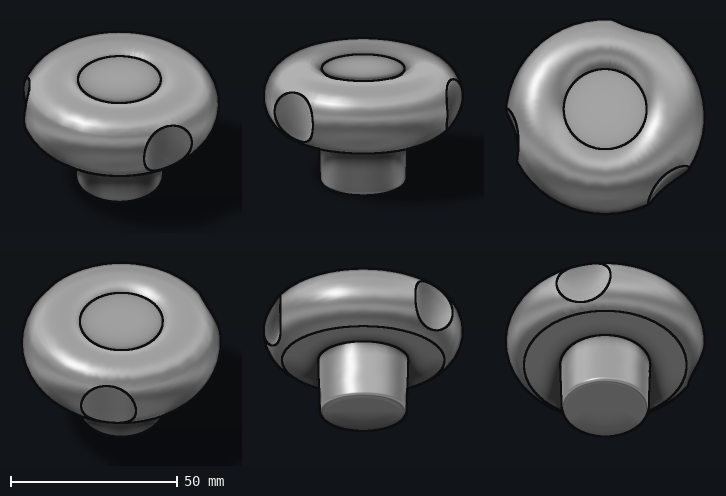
import cadquery as cq
import math

knob_radius = 30.0
knob_height = 38.5

rim_radius = 11.0
head_bottom = 18.0
dish_radius = 12.5
rim_center_radius = knob_radius - rim_radius
rim_center_z = knob_height - rim_radius

boss_top_radius = 13.55
boss_end_radius = 13.1
boss_fillet = 1.5

notch_count = 3
notch_radius = 20.0
notch_floor = 27.0
first_notch_angle = 90.0


def rim_height(radius):
    """Vertical distance from the rim centre to the rim circle at a given radius."""
    return math.sqrt(rim_radius**2 - (radius - rim_center_radius) ** 2)


def make_head():
    """Revolved head: flat dish floor, round rim and flat underside."""
    bottom_rise = head_bottom - rim_center_z
    bottom_radius = rim_center_radius + math.sqrt(rim_radius**2 - bottom_rise**2)
    dish_floor = rim_center_z + rim_height(dish_radius)
    return (
        cq.Workplane("XZ")
        .moveTo(0, head_bottom)
        .lineTo(bottom_radius, head_bottom)
        .threePointArc((knob_radius, rim_center_z), (dish_radius, dish_floor))
        .lineTo(0, dish_floor)
        .close()
        .revolve(360, (0, 0, 0), (0, 1, 0))
    )


def make_boss():
    """Slightly tapered round boss with a rounded lower edge."""
    boss = (
        cq.Workplane("XY")
        .circle(boss_end_radius)
        .workplane(offset=head_bottom)
        .circle(boss_top_radius)
        .loft()
    )
    return boss.faces("<Z").edges().fillet(boss_fillet)


def make_notches():
    """Upright cylinders that scoop the finger notches out of the rim."""
    return (
        cq.Workplane("XY")
        .polarArray(notch_floor + notch_radius, first_notch_angle, 360, notch_count)
        .circle(notch_radius)
        .extrude(knob_height)
    )


result = make_head().union(make_boss()).cut(make_notches())